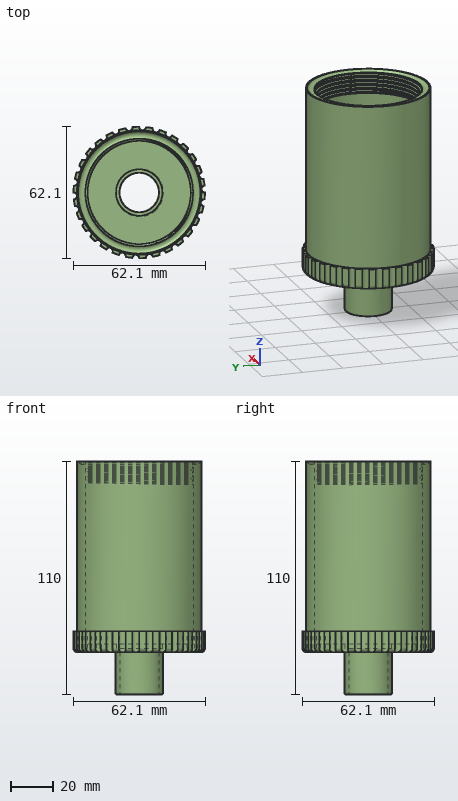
import cadquery as cq
import math

total_height = 110.0
nozzle_length = 20.0
collar_height = 10.0
floor_thickness = 4.0
floor_z = nozzle_length + floor_thickness

tube_radius = 58.8 / 2
bore_radius = 50.8 / 2

nozzle_radius = 22.5 / 2
nozzle_edge_fillet = 1.0
passage_radius = 18.5 / 2
counterbore_radius = 21.9 / 2
counterbore_depth = 2.0

collar_radius = 62.07 / 2
flute_radius = 1.62
flute_count = 30
flute_pitch_angle = 360 / flute_count
first_flute_angle = flute_pitch_angle / 4
collar_edge_fillet = 2.0

rim_land_width = 0.6
groove_outer_radius = tube_radius - rim_land_width
inner_lip_drop = 0.6
groove_depth = 1.3

thread_pitch = 2.0
full_turns = 4
ridge_height = 5 / 8 * thread_pitch * math.cos(math.radians(30))
crest_half_width = thread_pitch / 8
root_half_width = thread_pitch * 7 / 16
fade_turn = 0.25
thread_setback = 2.0
full_thread_top_z = total_height - thread_setback
full_thread_bottom_z = full_thread_top_z - full_turns * thread_pitch
curve_points_per_turn = 72


def cylinder(radius, bottom_z, top_z):
    return cq.Workplane("XY").workplane(offset=bottom_z).circle(radius).extrude(top_z - bottom_z)


def make_collar():
    collar_top_z = nozzle_length + collar_height
    collar = cylinder(collar_radius, nozzle_length, collar_top_z)
    collar = collar.faces("<Z").edges().fillet(collar_edge_fillet)
    flutes = (
        cq.Workplane("XY")
        .workplane(offset=nozzle_length)
        .polarArray(collar_radius, first_flute_angle, 360, flute_count)
        .circle(flute_radius)
        .extrude(collar_height)
    )
    return collar.cut(flutes)


def make_rim_groove():
    lip_z = total_height - inner_lip_drop
    middle_radius = (groove_outer_radius + bore_radius) / 2
    return (
        cq.Workplane("XZ")
        .moveTo(groove_outer_radius, total_height)
        .threePointArc((middle_radius, total_height - groove_depth), (bore_radius, lip_z))
        .lineTo(bore_radius, total_height)
        .close()
        .revolve(360, (0, 0, 0), (0, 1, 0))
    )


def make_housing():
    nozzle = cylinder(nozzle_radius, 0, floor_z).faces("<Z").edges().fillet(nozzle_edge_fillet)
    housing = cylinder(tube_radius, nozzle_length, total_height).union(make_collar()).union(nozzle)
    housing = housing.cut(cylinder(bore_radius, floor_z, total_height))
    housing = housing.cut(cylinder(passage_radius, 0, floor_z))
    housing = housing.cut(cylinder(counterbore_radius, floor_z - counterbore_depth, floor_z))
    return housing.cut(make_rim_groove())


def ridge_edge(start_z, turn, height, half_width, fades):
    """Edge curve of the ridge, winding by `turn` from angle zero; a fading ridge shrinks to nothing."""

    def point(t):
        angle = 2 * math.pi * turn * t
        scale = math.cos(math.pi / 2 * t) if fades else 1.0
        radius = bore_radius - height * scale
        z = start_z + thread_pitch * turn * t + half_width * scale
        return (radius * math.cos(angle), radius * math.sin(angle), z)

    point_count = round(curve_points_per_turn * abs(turn))
    return cq.Workplane("XY").parametricCurve(point, N=point_count, makeWire=False).val()


def make_ridge(start_z, turn, fades=False):
    """One solid piece of the thread ridge, rooted on the bore wall."""
    corners = [
        (0, -root_half_width),
        (ridge_height, -crest_half_width),
        (ridge_height, crest_half_width),
        (0, root_half_width),
    ]
    edges = [ridge_edge(start_z, turn, height, half_width, fades) for height, half_width in corners]
    faces = [cq.Face.makeRuledSurface(edges[i - 1], edges[i]) for i in range(len(edges))]
    ends = [0] if fades else [0, 1]
    for end in ends:
        end_points = [edge.positionAt(end) for edge in edges]
        faces.append(cq.Face.makeFromWires(cq.Wire.makePolygon(end_points, close=True)))
    return cq.Solid.makeSolid(cq.Shell.makeShell(faces)).fix()


housing = make_housing()
thread_turns = [make_ridge(full_thread_bottom_z + i * thread_pitch, 1) for i in range(full_turns)]
top_fade = make_ridge(full_thread_top_z, fade_turn, fades=True)
bottom_fade = make_ridge(full_thread_bottom_z, -fade_turn, fades=True)

result = cq.Compound.makeCompound([housing.val(), *thread_turns, top_fade, bottom_fade])